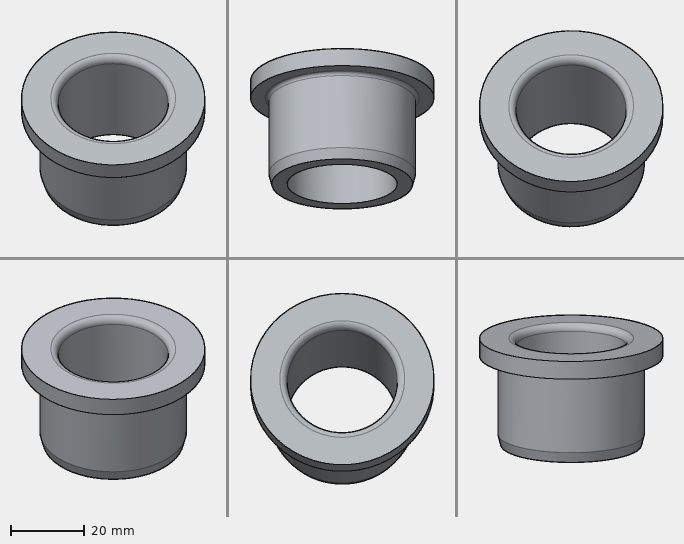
import cadquery as cq
import math

flange_diameter = 50.0
flange_thickness = 5.0
body_diameter = 40.0
bore_diameter = 30.0
total_height = 30.0
bore_entry_radius = 2.0
neck_fillet_radius = 1.0
lead_in_height = 3.0
lead_in_angle = 15.0

flange_radius = flange_diameter / 2
body_radius = body_diameter / 2
bore_radius = bore_diameter / 2
flange_underside = total_height - flange_thickness
lead_in_depth = lead_in_height * math.tan(math.radians(lead_in_angle))

section = (
    cq.Workplane("XZ")
    .moveTo(bore_radius, 0)
    .lineTo(body_radius - lead_in_depth, 0)
    .lineTo(body_radius, lead_in_height)
    .lineTo(body_radius, flange_underside - neck_fillet_radius)
    .radiusArc((body_radius + neck_fillet_radius, flange_underside), neck_fillet_radius)
    .lineTo(flange_radius, flange_underside)
    .lineTo(flange_radius, total_height)
    .lineTo(bore_radius + bore_entry_radius, total_height)
    .radiusArc((bore_radius, total_height - bore_entry_radius), -bore_entry_radius)
    .close()
)

result = section.revolve(360, (0, 0, 0), (0, 1, 0))